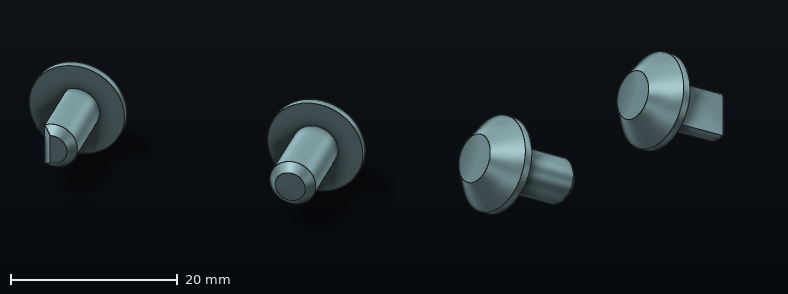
import cadquery as cq

overall_width = 42.0
head_diameter = 12.0
head_crown_diameter = 6.0
head_rim_thickness = 1.0
head_height = 4.0
shank_diameter = 5.8
shank_length = 10.0
tip_chamfer = 1.0
flat_offset = 1.2

head_radius = head_diameter / 2
crown_radius = head_crown_diameter / 2
shank_radius = shank_diameter / 2
pin_spacing = overall_width - head_diameter


def make_head():
    """Flat rim and conical crown; the underside is at Y = 0 and the crown faces +Y."""
    return (
        cq.Workplane("XY")
        .lineTo(head_radius, 0)
        .lineTo(head_radius, head_rim_thickness)
        .lineTo(crown_radius, head_height)
        .lineTo(0, head_height)
        .close()
        .revolve(360, (0, 0, 0), (0, 1, 0))
    )


def make_shank():
    """Plain cylinder that runs from the head underside toward -Y."""
    return cq.Workplane("XZ").circle(shank_radius).extrude(shank_length)


def cut_flat(shank):
    """Remove the -X side of the shank along its full length."""
    waste = cq.Workplane("XY").box(
        shank_radius, shank_length, shank_diameter, centered=(False, False, True)
    ).translate((-flat_offset - shank_radius, -shank_length, 0))
    return shank.cut(waste)


def finish_pin(shank):
    """Chamfer every edge of the tip, then join the shank to its head."""
    return make_head().union(shank.faces("<Y").edges().chamfer(tip_chamfer))


flatted_pin = finish_pin(cut_flat(make_shank())).translate((-pin_spacing / 2, 0, 0))
round_pin = finish_pin(make_shank()).translate((pin_spacing / 2, 0, 0))

result = cq.Compound.makeCompound([flatted_pin.solids().val(), round_pin.solids().val()])